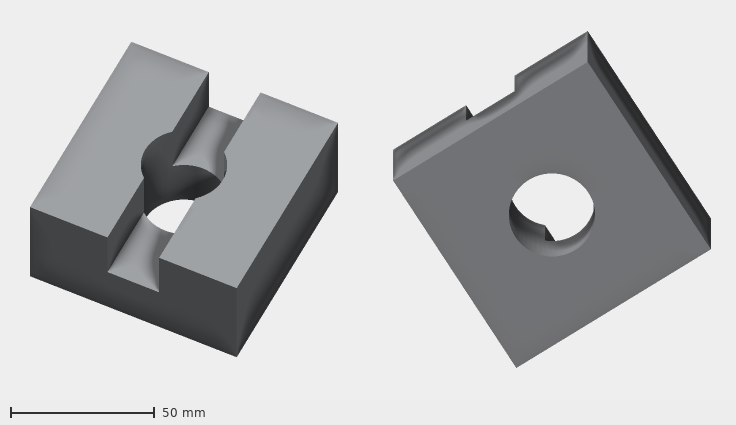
import cadquery as cq

side = 80.0
height = side / 2
slot_width = 20.0
slot_depth = height / 2
hole_diameter = 30.0

block = cq.Workplane("XY").box(side, side, height, centered=(True, True, False))

slot = (
    cq.Workplane("XY")
    .workplane(offset=height - slot_depth)
    .rect(slot_width, side)
    .extrude(slot_depth)
)

hole = cq.Workplane("XY").circle(hole_diameter / 2).extrude(height)

result = block.cut(slot).cut(hole)